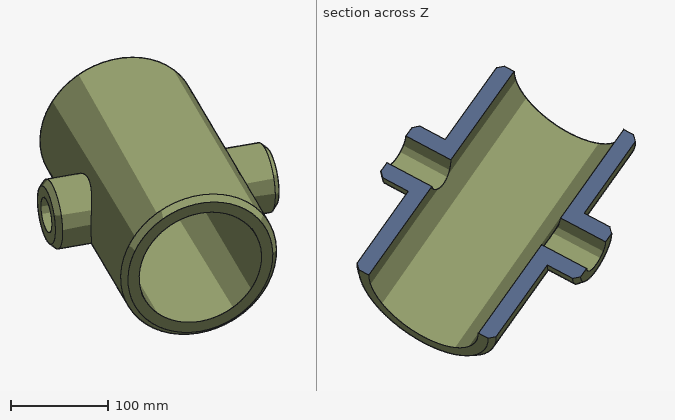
import cadquery as cq

RUN_LENGTH = 285.5
RUN_OUTER_DIAMETER = 168.28
RUN_BORE_DIAMETER = 132.0

BRANCH_SPAN = 241.3
BRANCH_OUTER_DIAMETER = 73.0
BRANCH_BORE_DIAMETER = 36.8

BEVEL_LENGTH = 6.0
BEVEL_DEPTH = 6.0


def beveled_bar(diameter, length):
    """Solid bar along Z, centred on the origin, with both end rims beveled."""
    radius = diameter / 2
    end_radius = radius - BEVEL_DEPTH
    half_length = length / 2
    shoulder = half_length - BEVEL_LENGTH
    profile = (
        cq.Workplane("XZ")
        .moveTo(0, -half_length)
        .lineTo(end_radius, -half_length)
        .lineTo(radius, -shoulder)
        .lineTo(radius, shoulder)
        .lineTo(end_radius, half_length)
        .lineTo(0, half_length)
        .close()
    )
    return profile.revolve(360, (0, 0, 0), (0, 1, 0))


def bore(diameter, length):
    """Plain cylinder along Z, centred on the origin."""
    return cq.Workplane("XY").circle(diameter / 2).extrude(length / 2, both=True)


def along_x(body):
    """Turn a body from the Z axis onto the X axis."""
    return body.rotate((0, 0, 0), (0, 1, 0), 90)


def along_y(body):
    """Turn a body from the Z axis onto the Y axis."""
    return body.rotate((0, 0, 0), (1, 0, 0), 90)


outside = along_x(beveled_bar(RUN_OUTER_DIAMETER, RUN_LENGTH)).union(
    along_y(beveled_bar(BRANCH_OUTER_DIAMETER, BRANCH_SPAN))
)

run_bore = along_x(bore(RUN_BORE_DIAMETER, RUN_LENGTH))
branch_bore = along_y(bore(BRANCH_BORE_DIAMETER, BRANCH_SPAN))

result = outside.cut(run_bore).cut(branch_bore)